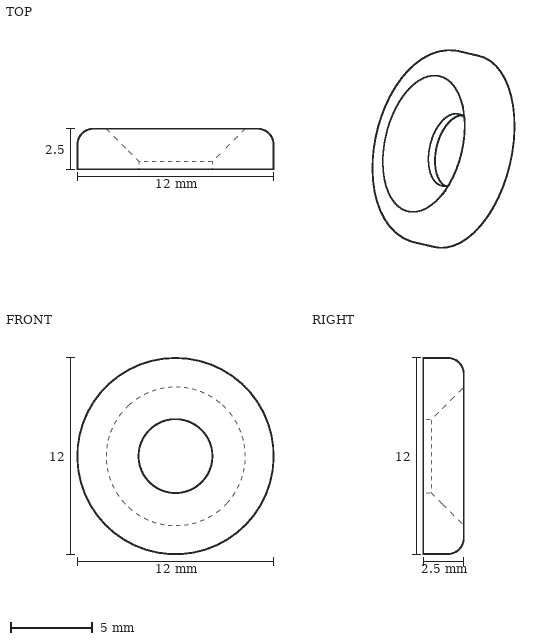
import cadquery as cq
import math

outer_diameter = 12.0
thickness = 2.5
hole_diameter = 4.5
rim_radius = 1.0
hole_land = 0.5
countersink_angle = 90.0

outer_radius = outer_diameter / 2
hole_radius = hole_diameter / 2
countersink_depth = thickness - hole_land
half_angle = math.radians(countersink_angle / 2)
countersink_radius = hole_radius + countersink_depth * math.tan(half_angle)
rim_start = thickness - rim_radius
rim_center_radius = outer_radius - rim_radius
rim_mid_offset = rim_radius * math.sqrt(0.5)

section = (
    cq.Workplane("YZ")
    .moveTo(0, hole_radius)
    .lineTo(0, outer_radius)
    .lineTo(rim_start, outer_radius)
    .threePointArc(
        (rim_start + rim_mid_offset, rim_center_radius + rim_mid_offset),
        (thickness, rim_center_radius),
    )
    .lineTo(thickness, countersink_radius)
    .lineTo(hole_land, hole_radius)
    .close()
)

result = section.revolve(360, (0, 0, 0), (1, 0, 0))